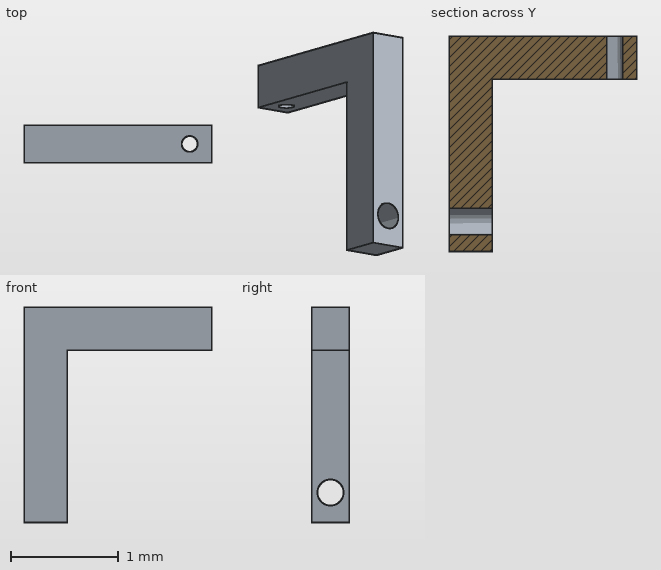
import cadquery as cq

length = 1.74
width = 0.35
height = 2.0

leg_thickness = 0.4

small_hole_diameter = 0.145
small_hole_from_end = 0.205

large_hole_diameter = 0.24
large_hole_from_bottom = 0.28


def make_bracket():
    """Inverted-L bar centred on Y, with its outer lower corner at the origin."""
    return (
        cq.Workplane("XZ")
        .moveTo(0, 0)
        .lineTo(leg_thickness, 0)
        .lineTo(leg_thickness, height - leg_thickness)
        .lineTo(length, height - leg_thickness)
        .lineTo(length, height)
        .lineTo(0, height)
        .close()
        .extrude(width / 2, both=True)
    )


def make_small_hole():
    """Vertical cylinder that pierces the horizontal leg near its free end."""
    return (
        cq.Workplane("XY")
        .center(length - small_hole_from_end, 0)
        .circle(small_hole_diameter / 2)
        .extrude(height)
    )


def make_large_hole():
    """Horizontal cylinder that pierces the vertical leg near its foot."""
    return (
        cq.Workplane("YZ")
        .center(0, large_hole_from_bottom)
        .circle(large_hole_diameter / 2)
        .extrude(leg_thickness)
    )


result = make_bracket().cut(make_small_hole()).cut(make_large_hole())